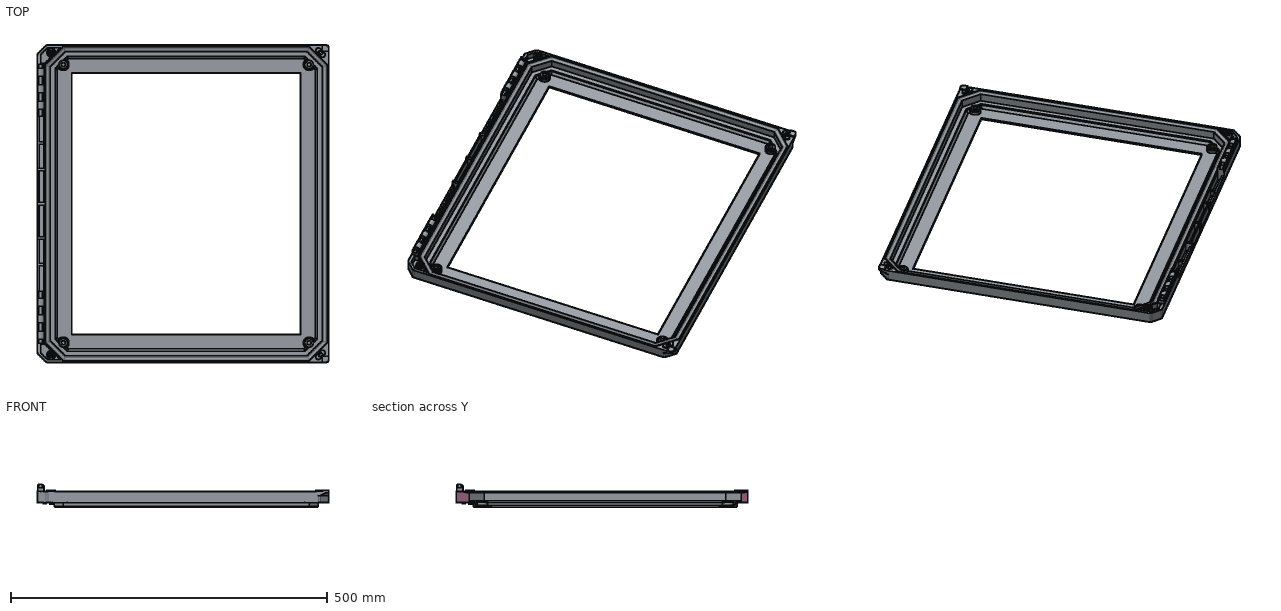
import cadquery as cq
import math

LENGTH_X = 461.0
LENGTH_Y = 502.0
HEIGHT = 36.5

STRIP_WIDTH = 10.0
FRAME_X = LENGTH_X - STRIP_WIDTH
FRAME_CENTER_X = STRIP_WIDTH / 2
LEFT = -LENGTH_X / 2

BODY_BOTTOM = 7.5
BODY_TOP = 25.0
PAD_TOP = 27.0
TRAY_FLOOR = 3.0
LEDGE_Z = 10.0
TRAY_SLOPE_Z = 7.5
RIM_LIP_Z = 24.0
RIM_SLOPE_Z = 23.0

RIM_FLAT = 2.5
RIM_LIP = 4.5
RIM_INNER = 8.5
WALL_INNER = 10.5
TRAY_OUTER = 16.5
LEDGE_INNER = 18.0
TRAY_INNER = 21.5
OPENING_INSET = 44.5
TRAY_CHAMFER = 2.0
DIAGONAL_REACH = 30.0

CORNER_CUT = 14.5
CORNER_BLEND = 4.5
CAP_SIZE = 25.0
CAP_BOTTOM = 18.0
CAP_SLOPE_TOP = 23.0

BOSS_INSET = 31.0
BOSS_TIERS = [(18.0, 8.0), (13.5, 10.5)]
BOSS_HOLE = 6.5

FIXING_INSET_Y = 12.0
LEFT_FIXING_X = 22.0
RIGHT_FIXING_INSET_X = 13.0
FIXING_HOLE = 3.45
LEFT_FIXING_DIAMETER = 13.5
LEFT_FIXING_BORE = 8.0
LEFT_FIXING_BORE_DEPTH = 3.0
LEFT_POCKET_FLOOR = 15.0
LEFT_POCKET_OUTLINE = [(5.5, 15.0), (16.0, 4.5), (36.5, 4.5), (12.0, 29.0), (5.5, 29.0)]
SLOT_PAD_WIDTH = 8.0
SLOT_PAD_SPACING = 9.5
SLOT_HOLE_SPACING = 3.0
CORNER_TAB = 10.0

HINGE_START = 30.0
HINGE_END = 112.5
HINGE_TOP = 34.5
HINGE_WIDTH = 11.0
HINGE_STEP = 0.5
HINGE_STEP_Z = 30.5
RIDGE_X = 5.0
RIDGE_RADIUS = 6.5
RIDGE_CENTER_Z = HEIGHT - RIDGE_RADIUS
TOOTH_STARTS = [37.0, 63.0, 89.0]
TOOTH_LENGTH = 12.5
POCKET_INSET = 2.0
POCKET_WIDTH = 5.5
POCKET_FLOOR = 30.5
STRIP_WALL = 3.5
STRIP_FLOOR = 9.5
NOTCH_END = 195.0
NOTCH_FLOOR = 18.5
PANEL_START = 199.0
PANEL_DEPTH = 1.5
STRIP_RIB = 155.0
RIB_HALF = 2.0
FOOT_START = 29.5
FOOT_END = 109.5
FEET = [(9.5, 14.5, 6.0), (19.5, 27.0, 4.5)]


def block(x0, x1, y0, y1, z0, z1):
    """Axis-aligned box between two opposite corners."""
    return cq.Workplane("XY").box(x1 - x0, y1 - y0, z1 - z0, centered=False).translate((x0, y0, z0))


def both_ends(solid):
    """The solid together with its mirror image across Y = 0."""
    return solid.union(solid.mirror("XZ"))


def end_block(x0, x1, y0, y1, z0, z1):
    """Box placed by its X offset from the -X side and its Y offset from either end."""
    half = LENGTH_Y / 2
    return both_ends(block(LEFT + x0, LEFT + x1, -half + y0, -half + y1, z0, z1))


def frame_rectangle(inset, z0, z1):
    """Square-cornered slab set inward from the frame outline."""
    return (cq.Workplane("XY", origin=(FRAME_CENTER_X, 0, z0))
            .rect(FRAME_X - 2 * inset, LENGTH_Y - 2 * inset).extrude(z1 - z0))


def cavity_points(inset):
    """Inner outline whose corner diagonals keep the same inset as its sides."""
    a = FRAME_X / 2 - inset
    b = LENGTH_Y / 2 - inset
    c = DIAGONAL_REACH + math.sqrt(2) * inset - 2 * inset
    points = [(a, b - c), (a - c, b), (c - a, b), (-a, b - c)]
    return points + [(-x, -y) for x, y in points]


def cavity(inset, z0, z1):
    """Straight-walled hollow between two heights."""
    return (cq.Workplane("XY", origin=(FRAME_CENTER_X, 0, z0))
            .polyline(cavity_points(inset)).close().extrude(z1 - z0))


def tapered_cavity(lower_inset, z0, upper_inset, z1):
    """Hollow whose walls slope from one inset to another."""
    return (cq.Workplane("XY", origin=(FRAME_CENTER_X, 0, z0))
            .polyline(cavity_points(lower_inset)).close()
            .workplane(offset=z1 - z0)
            .polyline(cavity_points(upper_inset)).close().loft(ruled=True))


def corner_cap():
    """Rounded upper corner at +X -Y that overhangs the lower corner cut along a slope."""
    right = LENGTH_X / 2
    front = -LENGTH_Y / 2
    cap = block(right - CAP_SIZE, right, front, front + CAP_SIZE, CAP_BOTTOM, BODY_TOP)
    cap = cap.edges("|Z and >X and <Y").fillet(CORNER_BLEND)

    def triangle(leg):
        return [(right, front), (right, front + leg), (right - leg, front)]

    slope = (cq.Workplane("XY", origin=(0, 0, CAP_BOTTOM)).polyline(triangle(CORNER_CUT)).close()
             .workplane(offset=CAP_SLOPE_TOP - CAP_BOTTOM)
             .polyline(triangle(CORNER_BLEND)).close().loft(ruled=True))
    return cap.cut(slope)


def outer_body():
    """Solid frame block with cut corners, standing on the chamfered tray."""
    body = block(LEFT, -LEFT, -LENGTH_Y / 2, LENGTH_Y / 2, BODY_BOTTOM, BODY_TOP)
    body = body.edges("|Z").chamfer(CORNER_CUT).edges("|Z").fillet(CORNER_BLEND)
    body = body.union(both_ends(corner_cap()))
    tray = frame_rectangle(TRAY_OUTER, 0, LEDGE_Z).edges("|Z").chamfer(CORNER_CUT)
    return body.union(tray.faces("<Z").chamfer(TRAY_CHAMFER))


def inner_cavity():
    """Everything hollow inside the frame, from the rim down to the through opening."""
    spaces = [
        cavity(RIM_FLAT, RIM_LIP_Z, BODY_TOP),
        tapered_cavity(RIM_INNER, RIM_SLOPE_Z, RIM_LIP, RIM_LIP_Z),
        cavity(WALL_INNER, LEDGE_Z, RIM_SLOPE_Z),
        cavity(LEDGE_INNER, TRAY_SLOPE_Z, LEDGE_Z),
        tapered_cavity(TRAY_INNER, TRAY_FLOOR, LEDGE_INNER, TRAY_SLOPE_Z),
    ]
    hollow = frame_rectangle(OPENING_INSET, 0, LEDGE_Z)
    for space in spaces:
        hollow = hollow.union(space)
    return hollow


def add_screw_bosses(part):
    centers = (cq.Workplane("XY", origin=(FRAME_CENTER_X, 0, 0))
               .rect(FRAME_X - 2 * BOSS_INSET, LENGTH_Y - 2 * BOSS_INSET, forConstruction=True).vertices())
    for diameter, top in BOSS_TIERS:
        part = part.union(centers.circle(diameter / 2).extrude(top))
    hole = centers.circle(BOSS_HOLE / 2).extrude(HEIGHT).translate((0, 0, TRAY_FLOOR))
    return part.cut(hole)


def add_corner_fixings(part):
    left_x = LEFT + LEFT_FIXING_X
    right_x = LENGTH_X / 2 - RIGHT_FIXING_INSET_X
    y = -LENGTH_Y / 2 + FIXING_INSET_Y

    recess_outline = [(LEFT + px, -LENGTH_Y / 2 + py) for px, py in LEFT_POCKET_OUTLINE]
    recess = (cq.Workplane("XY", origin=(0, 0, LEFT_POCKET_FLOOR))
              .polyline(recess_outline).close().extrude(HEIGHT))
    post = (cq.Workplane("XY", origin=(left_x, y, BODY_BOTTOM))
            .circle(LEFT_FIXING_DIAMETER / 2).extrude(PAD_TOP - BODY_BOTTOM))
    part = part.cut(both_ends(recess)).union(both_ends(post))
    post_hole = cq.Workplane("XY").center(left_x, y).circle(FIXING_HOLE / 2).extrude(HEIGHT)
    post_bore = (cq.Workplane("XY", origin=(left_x, y, PAD_TOP - LEFT_FIXING_BORE_DEPTH))
                 .circle(LEFT_FIXING_BORE / 2).extrude(LEFT_FIXING_BORE_DEPTH))
    part = part.cut(both_ends(post_hole)).cut(both_ends(post_bore))

    def slot(spacing, width, z0, z1):
        return (cq.Workplane("XY").slot2D(spacing + width, width).extrude(z1 - z0)
                .rotate((0, 0, 0), (0, 0, 1), 45).translate((right_x, y, z0)))

    tab = block(LENGTH_X / 2 - CORNER_TAB, LENGTH_X / 2, -LENGTH_Y / 2, -LENGTH_Y / 2 + CORNER_TAB,
                CAP_SLOPE_TOP, PAD_TOP)
    tab = tab.edges("|Z and >X and <Y").fillet(CORNER_BLEND)
    pad = slot(SLOT_PAD_SPACING, SLOT_PAD_WIDTH, BODY_BOTTOM, PAD_TOP)
    part = part.union(both_ends(tab)).union(both_ends(pad))
    return part.cut(both_ends(slot(SLOT_HOLE_SPACING, FIXING_HOLE, 0, HEIGHT)))


def hinge_block():
    """One hinge block at the -Y end, with ridge teeth and pockets between them."""
    start_y = -LENGTH_Y / 2 + HINGE_START
    back_z = RIDGE_CENTER_Z + math.sqrt(RIDGE_RADIUS**2 - (HINGE_WIDTH - RIDGE_X) ** 2)
    front_z = RIDGE_CENTER_Z + math.sqrt(RIDGE_RADIUS**2 - (RIDGE_X - 2 * HINGE_STEP) ** 2)
    bar = (cq.Workplane("XZ", origin=(LEFT, start_y, 0))
           .moveTo(0, BODY_BOTTOM).lineTo(0, BODY_TOP).lineTo(HINGE_STEP, BODY_TOP)
           .lineTo(HINGE_STEP, HINGE_STEP_Z).lineTo(2 * HINGE_STEP, HINGE_STEP_Z)
           .lineTo(2 * HINGE_STEP, front_z)
           .threePointArc((RIDGE_X, HEIGHT), (HINGE_WIDTH, back_z))
           .lineTo(HINGE_WIDTH, BODY_BOTTOM).close()
           .extrude(HINGE_START - HINGE_END))
    gap_starts = [HINGE_START] + [tooth + TOOTH_LENGTH for tooth in TOOTH_STARTS]
    gap_ends = TOOTH_STARTS + [HINGE_END]
    for gap_start, gap_end in zip(gap_starts, gap_ends):
        y0 = -LENGTH_Y / 2 + gap_start
        y1 = -LENGTH_Y / 2 + gap_end
        pocket_x = LEFT + POCKET_INSET
        bar = bar.cut(block(LEFT, LEFT + HINGE_WIDTH, y0, y1, HINGE_TOP, HEIGHT))
        bar = bar.cut(block(pocket_x, pocket_x + POCKET_WIDTH, y0, y1, POCKET_FLOOR, HEIGHT))
    return bar


def add_hinge_strip(part):
    middle = LENGTH_Y / 2
    channel = end_block(STRIP_WALL, STRIP_WIDTH, HINGE_END, middle, STRIP_FLOOR, HEIGHT)
    for rib in [STRIP_RIB, (NOTCH_END + PANEL_START) / 2, middle]:
        channel = channel.cut(end_block(0, STRIP_WIDTH, rib - RIB_HALF, rib + RIB_HALF, 0, HEIGHT))
    part = part.cut(channel)
    part = part.cut(end_block(0, STRIP_WIDTH, HINGE_END, NOTCH_END, NOTCH_FLOOR, HEIGHT))
    part = part.cut(end_block(0, PANEL_DEPTH, PANEL_START, middle - RIB_HALF, STRIP_FLOOR, HEIGHT))
    part = part.union(both_ends(hinge_block()))
    for x0, x1, z0 in FEET:
        part = part.union(end_block(x0, x1, FOOT_START, FOOT_END, z0, BODY_BOTTOM))
    return part


frame = add_screw_bosses(outer_body().cut(inner_cavity()))
result = add_hinge_strip(add_corner_fixings(frame))